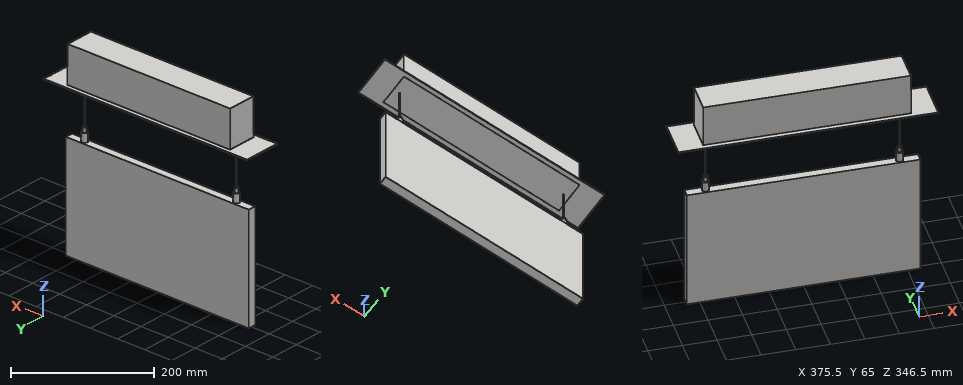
import cadquery as cq

plate_length = 375.5
plate_width = 65.0
total_height = 346.5

plate_thickness = 1.5
housing_length = 300.0
housing_width = 50.0
housing_height = 64.5

panel_length = 337.5
panel_thickness = 14.0
panel_height = 187.0

cable_spacing = 280.0
cable_diameter = 1.5
lower_ferrule_diameter = 10.0
lower_ferrule_height = 15.0
upper_ferrule_diameter = 6.0
upper_ferrule_height = 8.0

plate_top = total_height - housing_height
plate_bottom = plate_top - plate_thickness
upper_ferrule_bottom = panel_height + lower_ferrule_height
cable_bottom = upper_ferrule_bottom + upper_ferrule_height


def block(length, width, height, bottom):
    """Box centred on the Z axis, standing on the given level."""
    return cq.Workplane("XY").workplane(offset=bottom).rect(length, width).extrude(height)


def rod(x, diameter, bottom, top):
    """Vertical cylinder between two levels."""
    return cq.Workplane("XY").workplane(offset=bottom).center(x, 0).circle(diameter / 2).extrude(top - bottom)


def suspension(x):
    """Stepped ferrule with its cable, from the panel up to the plate."""
    lower_ferrule = rod(x, lower_ferrule_diameter, panel_height, upper_ferrule_bottom)
    upper_ferrule = rod(x, upper_ferrule_diameter, upper_ferrule_bottom, cable_bottom)
    cable = rod(x, cable_diameter, cable_bottom, plate_bottom)
    return lower_ferrule.union(upper_ferrule).union(cable)


panel = block(panel_length, panel_thickness, panel_height, 0)
plate = block(plate_length, plate_width, plate_thickness, plate_bottom)
housing = block(housing_length, housing_width, housing_height, plate_top)

result = panel.union(plate).union(housing)
for side in (-1, 1):
    result = result.union(suspension(side * cable_spacing / 2))